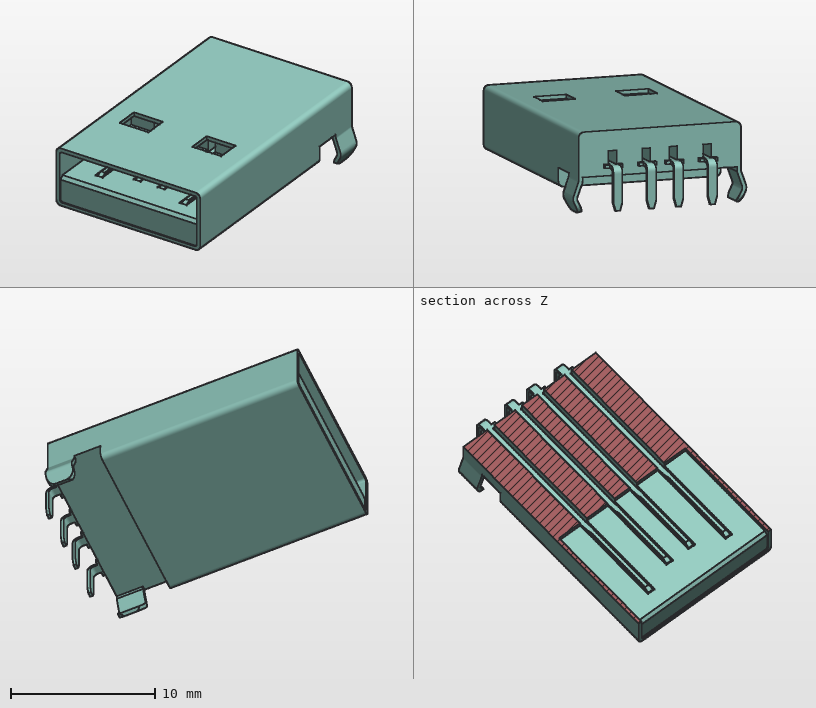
import cadquery as cq
import math


shell_width = 12.0
shell_height = 4.56
shell_length = 18.9
sheet = 0.3
shell_floor = 0.27
outer_radius = 0.4
inner_radius = 0.2
inner_width = shell_width - 2 * sheet
inner_top = shell_height - sheet

window_width = 2.4
window_length = 1.8
window_x = 3.03
window_y = 6.15

relief_length = 4.0
relief_top = 1.37
tab_length = 2.0
tab_reach = 6.4
tab_tip_z = -1.2
tab_upper_angle = 20.0
tab_lower_angle = 27.0
tab_knee_top_z = 0.1
tab_knee_radius = 0.65
tab_corner_radius = 0.65
tab_bend_radius = 0.3

tongue_top = 2.25
tongue_recess = 0.1
tongue_chamfer_height = 0.25
tongue_chamfer_depth = 0.25
cavity_depth = 8.9

signal_x = 1.0
power_x = 3.5
contact_positions = (-power_x, -signal_x, signal_x, power_x)
contact_thickness = 0.22
contact_width = 0.4
contact_bevel = 0.06
groove_width = 0.6
wall_opening_top = 3.12
contact_rear_top = 2.18
contact_floor = contact_rear_top - contact_thickness
contact_raised_top = 2.36
power_contact_start = 1.7
signal_contact_start = 2.7
end_gap = 0.1
nose_length = 0.4
ramp_length = 1.0

pin_reach = 1.1
pin_width = 0.66
pin_tip_width = 0.33
pin_taper_z = -0.37
pin_tip_z = -0.94
pin_bend_radius = 0.5
shoulder_width = 1.3
shoulder_length = 0.32

pin_rear = shell_length + pin_reach


def box(x_center, width, y_start, y_end, z_start, z_end):
    """Block centred on x_center, spanning the given Y and Z ranges."""
    size = (width, y_end - y_start, z_end - z_start)
    corner = (x_center - width / 2, y_start, z_start)
    return cq.Workplane("XY").box(*size, centered=False).translate(corner)


def make_shell():
    """Rounded rectangular tube with two latch windows in its top."""
    outside = box(0, shell_width, 0, shell_length, 0, shell_height)
    outside = outside.edges("|Y").fillet(outer_radius)
    inside = box(0, inner_width, 0, shell_length, shell_floor, inner_top)
    inside = inside.edges("|Y").fillet(inner_radius)
    shell = outside.cut(inside)
    for side in (-1, 1):
        window_end = window_y + window_length / 2
        window_start = window_y - window_length / 2
        window = box(side * window_x, window_width, window_start, window_end, inner_top, shell_height)
        shell = shell.cut(window)
    return shell


def contact_start(x):
    """Y of the contact nose: the outer power contacts reach further forward than the signal ones."""
    return power_contact_start if abs(x) == power_x else signal_contact_start


def make_insulator():
    """Tongue with a chamfered front edge, continued by a block filling the rear of the shell."""
    profile = (
        cq.Workplane("YZ")
        .moveTo(tongue_recess, shell_floor)
        .lineTo(tongue_recess, tongue_top - tongue_chamfer_height)
        .lineTo(tongue_recess + tongue_chamfer_depth, tongue_top)
        .lineTo(cavity_depth, tongue_top)
        .lineTo(cavity_depth, inner_top)
        .lineTo(shell_length, inner_top)
        .lineTo(shell_length, shell_floor)
        .close()
    )
    insulator = profile.extrude(inner_width / 2, both=True)
    insulator = insulator.edges("|Y and >Z").fillet(inner_radius)
    for x in contact_positions:
        groove_start = contact_start(x) - end_gap
        groove = box(x, groove_width, groove_start, shell_length, contact_floor, tongue_top)
        opening = box(x, groove_width, cavity_depth, shell_length, tongue_top, wall_opening_top)
        insulator = insulator.cut(groove).cut(opening)
    return insulator


def make_contact(x):
    """Strip lying in its groove: rear level, ramp, raised length and a nose dipping at the front."""
    nose_y = contact_start(x)
    ramp_start = cavity_depth - ramp_length
    strip = (
        cq.Workplane("YZ")
        .moveTo(nose_y, contact_floor)
        .lineTo(nose_y, contact_rear_top)
        .lineTo(nose_y + nose_length, contact_raised_top)
        .lineTo(ramp_start, contact_raised_top)
        .lineTo(cavity_depth, contact_rear_top)
        .lineTo(shell_length, contact_rear_top)
        .lineTo(shell_length, contact_floor)
        .close()
        .extrude(contact_width / 2, both=True)
    )
    strip = strip.faces(">Z").edges("|Y").chamfer(contact_bevel)
    return strip.translate((x, 0, 0))


def make_pin(x):
    """Shouldered pin leaving the rear face, bent straight down and tapered at its tip."""
    inner_bend = pin_bend_radius - contact_thickness
    bend_y = pin_rear - pin_bend_radius
    bend_z = contact_rear_top - pin_bend_radius
    diagonal = math.sqrt(0.5)
    side_profile = (
        cq.Workplane("YZ")
        .moveTo(shell_length, contact_rear_top)
        .lineTo(bend_y, contact_rear_top)
        .threePointArc(
            (bend_y + pin_bend_radius * diagonal, bend_z + pin_bend_radius * diagonal),
            (pin_rear, bend_z),
        )
        .lineTo(pin_rear, pin_tip_z)
        .lineTo(pin_rear - contact_thickness, pin_tip_z)
        .lineTo(pin_rear - contact_thickness, bend_z)
        .threePointArc(
            (bend_y + inner_bend * diagonal, bend_z + inner_bend * diagonal),
            (bend_y, contact_floor),
        )
        .lineTo(shell_length, contact_floor)
        .close()
        .extrude(pin_width / 2, both=True)
    )
    front_outline = (
        cq.Workplane("XZ")
        .moveTo(-pin_tip_width / 2, pin_tip_z)
        .lineTo(-pin_width / 2, pin_taper_z)
        .lineTo(-pin_width / 2, contact_rear_top)
        .lineTo(pin_width / 2, contact_rear_top)
        .lineTo(pin_width / 2, pin_taper_z)
        .lineTo(pin_tip_width / 2, pin_tip_z)
        .close()
        .extrude(-pin_rear)
    )
    shoulder_end = shell_length + shoulder_length
    shoulder = box(0, shoulder_width, shell_length, shoulder_end, contact_floor, contact_rear_top)
    return side_profile.intersect(front_outline).union(shoulder).translate((x, 0, 0))


def make_tab():
    """Spring tab on the +X side: slopes outward, turns round a knee and returns inward."""
    upper = math.radians(tab_upper_angle)
    lower = math.radians(tab_lower_angle)
    wall_x = shell_width / 2

    knee_x = tab_reach - tab_knee_radius * (1 - math.cos(upper))
    tab_bend_z = tab_knee_top_z + (knee_x - wall_x) / math.tan(upper)
    center_x = tab_reach - tab_knee_radius
    center_z = tab_knee_top_z - tab_knee_radius * math.sin(upper)
    inner_knee = tab_knee_radius - sheet

    bend_setback = tab_bend_radius * math.tan(upper / 2)
    bend_end = (wall_x + bend_setback * math.sin(upper), tab_bend_z - bend_setback * math.cos(upper))

    def knee_point(radius, angle):
        return (center_x + radius * math.cos(angle), center_z + radius * math.sin(angle))

    knee_end = knee_point(tab_knee_radius, -lower)
    tip_drop = knee_end[1] - tab_tip_z
    tip_outer = (knee_end[0] - tip_drop * math.tan(lower), tab_tip_z)
    tip_inner = (tip_outer[0] - sheet * math.cos(lower), tip_outer[1] + sheet * math.sin(lower))
    inner_top_point = knee_point(inner_knee, upper)
    inner_bend_z = inner_top_point[1] + (inner_top_point[0] - wall_x + sheet) / math.tan(upper)

    tab = (
        cq.Workplane("XZ", origin=(0, shell_length, 0))
        .moveTo(wall_x - sheet, relief_top)
        .lineTo(wall_x, relief_top)
        .lineTo(wall_x, tab_bend_z + bend_setback)
        .tangentArcPoint(bend_end, relative=False)
        .lineTo(knee_x, tab_knee_top_z)
        .threePointArc(knee_point(tab_knee_radius, 0), knee_end)
        .lineTo(*tip_outer)
        .lineTo(*tip_inner)
        .lineTo(*knee_point(inner_knee, -lower))
        .threePointArc(knee_point(inner_knee, 0), inner_top_point)
        .lineTo(wall_x - sheet, inner_bend_z)
        .close()
        .extrude(tab_length)
    )

    tab_front = shell_length - tab_length
    side_outline = box(wall_x, shell_width, tab_front, shell_length, tab_tip_z, relief_top)
    side_outline = side_outline.edges("|X and <Z").fillet(tab_corner_radius)
    return tab.intersect(side_outline)


def make_relief():
    """Space cut from the underside of shell and insulator at the rear."""
    return box(0, shell_width, shell_length - relief_length, shell_length, 0, relief_top)


result = make_shell().union(make_insulator()).cut(make_relief())
for contact_x in contact_positions:
    result = result.union(make_contact(contact_x)).union(make_pin(contact_x))

right_tab = make_tab()
result = result.union(right_tab).union(right_tab.mirror("YZ"))